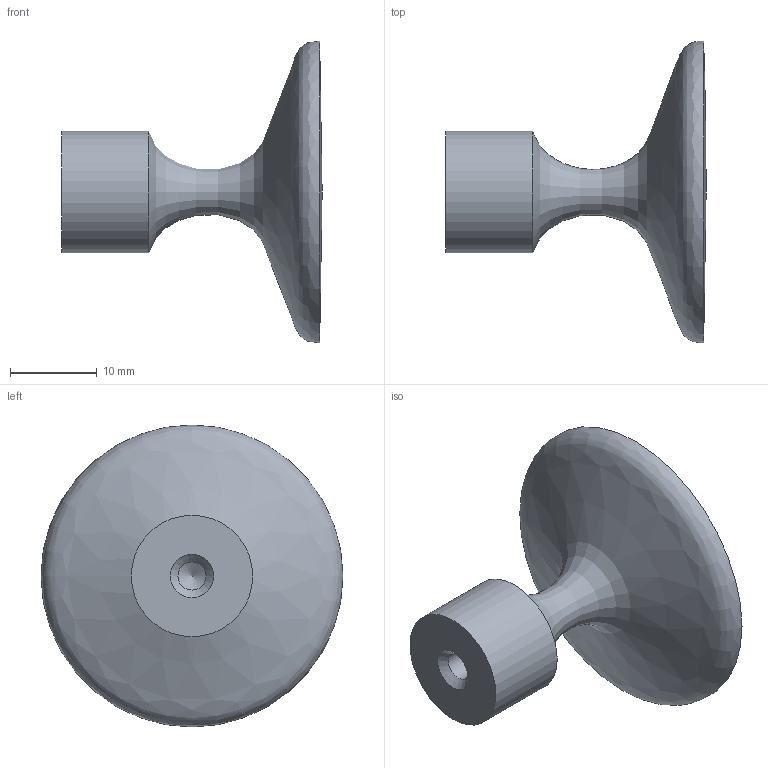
import cadquery as cq
import math


knob_length = 30.0
head_diameter = 34.81

foot_diameter = 14.0
foot_length = 10.0

neck_start_x = 12.0
neck_start_radius = 4.2
neck_taper_x = 14.95
neck_taper_radius = 2.85
waist_x = 17.0
waist_radius = 2.6
neck_end_x = 22.4
neck_end_radius = 4.75

flare_x = 24.05
flare_radius = 8.05
shoulder_x = 26.5
shoulder_radius = 14.65
rim_round_x = 27.5
rim_round_radius = 16.6
crown_height = 0.28

hole_diameter = 3.24
hole_depth = 10.0
countersink_diameter = 5.0
countersink_angle = 90.0
drill_point_angle = 118.0

foot_radius = foot_diameter / 2
head_radius = head_diameter / 2
rim_x = knob_length - crown_height


def cone_height(radial_span, included_angle):
    """Axial length of a cone that widens by radial_span."""
    return radial_span / math.tan(math.radians(included_angle / 2))


def revolve_about_x(profile):
    """Turn a closed XY profile fully around the X axis."""
    return profile.close().revolve(360, (0, 0, 0), (1, 0, 0))


def knob_body():
    """Foot, waisted neck, flared head and slightly crowned front."""
    neck_and_flare = [
        (neck_start_x, neck_start_radius),
        (neck_taper_x, neck_taper_radius),
        (waist_x, waist_radius),
        (neck_end_x, neck_end_radius),
        (flare_x, flare_radius),
        (shoulder_x, shoulder_radius),
        (rim_round_x, rim_round_radius),
        (rim_x, head_radius),
    ]
    crown_radius = (head_radius**2 + crown_height**2) / (2 * crown_height)
    crown_mid_radius = head_radius / 2
    crown_center_x = knob_length - crown_radius
    crown_mid_x = crown_center_x + math.sqrt(crown_radius**2 - crown_mid_radius**2)

    profile = (
        cq.Workplane("XY")
        .lineTo(0, foot_radius)
        .lineTo(foot_length, foot_radius)
        .spline(neck_and_flare, includeCurrent=True)
        .threePointArc((crown_mid_x, crown_mid_radius), (knob_length, 0))
    )
    return revolve_about_x(profile)


def screw_hole():
    """Countersunk blind hole running in from the mounting face."""
    hole_radius = hole_diameter / 2
    countersink_radius = countersink_diameter / 2
    countersink_depth = cone_height(countersink_radius - hole_radius, countersink_angle)
    drill_tip_x = hole_depth + cone_height(hole_radius, drill_point_angle)

    profile = (
        cq.Workplane("XY")
        .lineTo(0, countersink_radius)
        .lineTo(countersink_depth, hole_radius)
        .lineTo(hole_depth, hole_radius)
        .lineTo(drill_tip_x, 0)
    )
    return revolve_about_x(profile)


result = knob_body().cut(screw_hole())